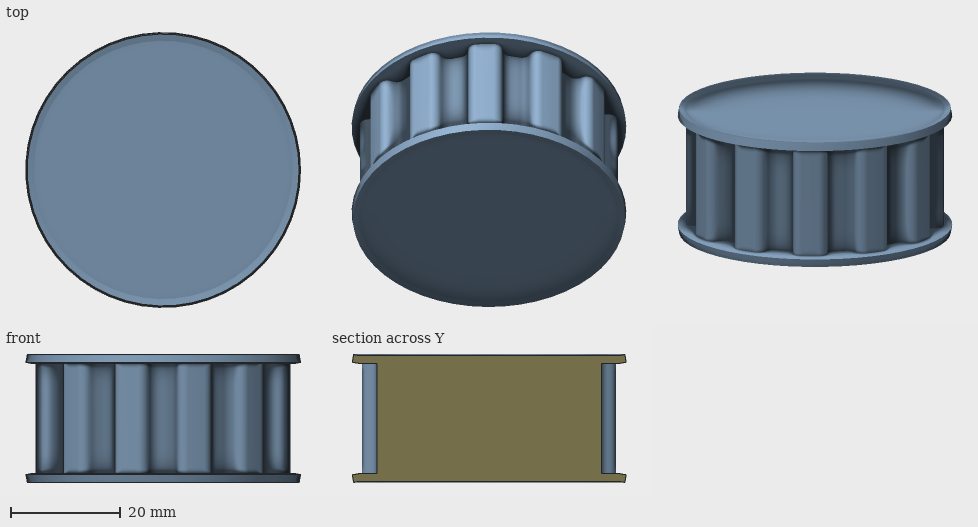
import cadquery as cq
import math


tooth_count = 12
belt_pitch = 12.7
pitch_line_offset = 1.37
tip_radius = (tooth_count * belt_pitch / math.pi - pitch_line_offset) / 2
face_width = 20.0

groove_depth = 3.05
groove_floor_width = 4.19
flank_angle = math.radians(20)
corner_radius = 1.6
cutter_margin = 2.0

flange_outer_diameter = 50.14
flange_thickness = 1.5
dish_angle = math.radians(10)


def groove_cutter():
    """Trapezoidal prism cutting one groove centred on +X, flaring outwards."""
    floor_radius = tip_radius - groove_depth
    mouth_radius = tip_radius + cutter_margin
    floor_half = groove_floor_width / 2
    mouth_half = floor_half + (mouth_radius - floor_radius) * math.tan(flank_angle)
    return (
        cq.Workplane("XY")
        .workplane(offset=-face_width / 2)
        .moveTo(floor_radius, -floor_half)
        .lineTo(mouth_radius, -mouth_half)
        .lineTo(mouth_radius, mouth_half)
        .lineTo(floor_radius, floor_half)
        .close()
        .extrude(face_width)
    )


def toothed_body():
    """Cylinder with evenly spaced grooves, rounded at floor and tip corners."""
    body = cq.Workplane("XY").circle(tip_radius).extrude(face_width / 2, both=True)
    cutter = groove_cutter()
    for index in range(tooth_count):
        angle = index * 360 / tooth_count
        body = body.cut(cutter.rotate((0, 0, 0), (0, 0, 1), angle))
    return body.edges("|Z").fillet(corner_radius)


def upper_flange():
    """Flat disc over the teeth whose rim is a plate of equal thickness tilted outwards."""
    inner_z = face_width / 2
    outer_z = inner_z + flange_thickness
    across_r = flange_thickness * math.sin(dish_angle)
    across_z = flange_thickness * math.cos(dish_angle)
    edge_inner_r = flange_outer_diameter / 2
    edge_outer_r = edge_inner_r - across_r
    edge_outer_z = outer_z + (edge_outer_r - tip_radius) * math.tan(dish_angle)
    profile = [
        (0, inner_z),
        (tip_radius, inner_z),
        (tip_radius + across_r, outer_z - across_z),
        (edge_inner_r, edge_outer_z - across_z),
        (edge_outer_r, edge_outer_z),
        (tip_radius, outer_z),
        (0, outer_z),
    ]
    return cq.Workplane("XZ").polyline(profile).close().revolve(360, (0, 0, 0), (0, 1, 0))


flange = upper_flange()
result = toothed_body().union(flange).union(flange.mirror("XY"))